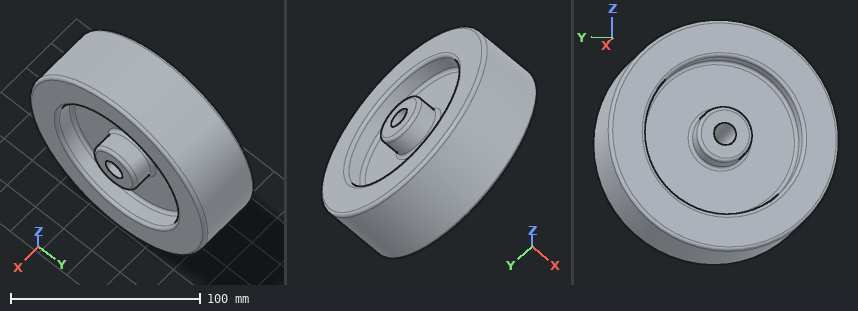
import cadquery as cq

wheel_diameter = 125.0
tread_width = 40.0
hub_length = 44.4
hub_diameter = 30.0
bore_diameter = 12.0
recess_diameter = 85.0
recess_depth = 12.0
edge_radius = 2.0

web_thickness = tread_width - 2 * recess_depth


def disc(diameter, width):
    """Cylinder along X, centred on the origin."""
    return cq.Workplane("YZ", origin=(-width / 2, 0, 0)).circle(diameter / 2).extrude(width)


rim = disc(wheel_diameter, tread_width).cut(disc(recess_diameter, tread_width))
web = disc(recess_diameter, web_thickness)
hub = disc(hub_diameter, hub_length)
body = rim.union(web).union(hub)

body = body.edges("%CIRCLE").fillet(edge_radius)

result = body.cut(disc(bore_diameter, hub_length))